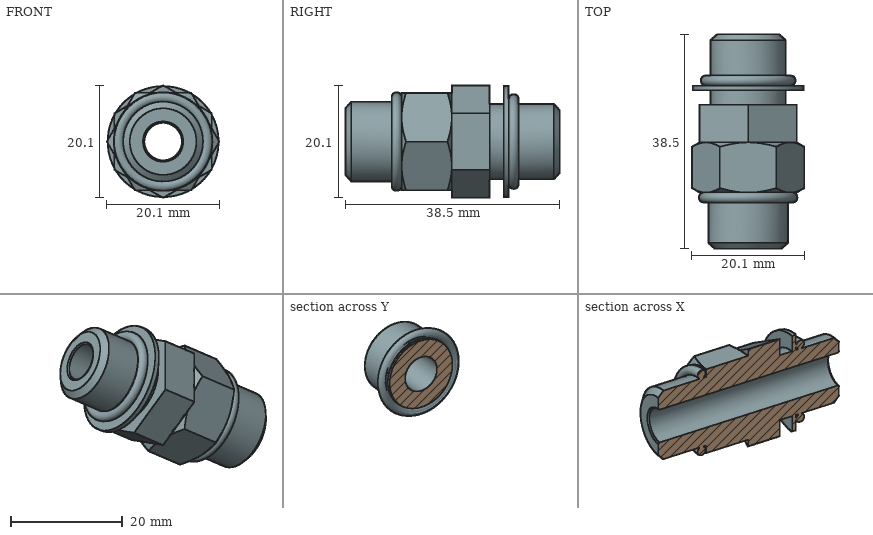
import cadquery as cq
import math

LENGTH = 38.48
ACROSS_CORNERS = 20.15
ACROSS_FLATS = ACROSS_CORNERS * math.cos(math.radians(30))

NUT_FRONT = 10.12
NUT_BACK = 19.1
HEX_BACK = 25.85
WASHER_FRONT = 28.4
WASHER_BACK = 29.3

FRONT_SPIGOT_DIAMETER = 14.3
BACK_SPIGOT_DIAMETER = 13.55
WASHER_DIAMETER = 19.95
FRONT_RING_DIAMETER = 17.7
BACK_RING_DIAMETER = 17.0
RING_THICKNESS = 1.8
END_CHAMFER_LENGTH = 1.08
END_CHAMFER_DEPTH = 1.2
NUT_CHAMFER_ANGLE = 30.0

BORE_DIAMETER = 6.7
BORE_CHAMFER = 0.27


def cylinder(diameter, start, end):
    """Solid cylinder about the Y axis between two stations."""
    return cq.Workplane("XZ", origin=(0, start, 0)).circle(diameter / 2).extrude(start - end)


def hexagon(start, end, turn):
    """Hexagonal prism about Y; a zero turn puts two corners on X."""
    prism = cq.Workplane("XZ", origin=(0, start, 0)).polygon(6, ACROSS_CORNERS).extrude(start - end)
    return prism.rotate((0, 0, 0), (0, 1, 0), turn)


def revolve_profile(points):
    """Revolve a closed (radius, station) profile about the Y axis."""
    return cq.Workplane("XY").polyline(points).close().revolve(360, (0, 0, 0), (0, 1, 0))


def spigot(diameter, inner_station, end_station):
    """Round end with a chamfer at its outer end."""
    radius = diameter / 2
    inward = math.copysign(1, inner_station - end_station)
    return revolve_profile([
        (0, inner_station),
        (radius, inner_station),
        (radius, end_station + inward * END_CHAMFER_LENGTH),
        (radius - END_CHAMFER_DEPTH, end_station),
        (0, end_station),
    ])


def sealing_ring(outer_diameter, center_station):
    """O-ring with a circular section."""
    section_center = (outer_diameter - RING_THICKNESS) / 2
    section = cq.Workplane("XY").center(section_center, center_station).circle(RING_THICKNESS / 2)
    return section.revolve(360, (-section_center, 0, 0), (-section_center, 1, 0))


def chamfered_nut():
    """Hexagonal nut with its corners turned to a cone at both faces."""
    face_radius = ACROSS_FLATS / 2
    corner_radius = ACROSS_CORNERS / 2
    cone_length = (corner_radius - face_radius) * math.tan(math.radians(NUT_CHAMFER_ANGLE))
    turned_blank = revolve_profile([
        (0, NUT_FRONT),
        (face_radius, NUT_FRONT),
        (corner_radius, NUT_FRONT + cone_length),
        (corner_radius, NUT_BACK - cone_length),
        (face_radius, NUT_BACK),
        (0, NUT_BACK),
    ])
    return hexagon(NUT_FRONT, NUT_BACK, 0).intersect(turned_blank)


def chamfered_bore():
    """Cutter for the through bore, flared at 45 degrees at both ends."""
    bore_radius = BORE_DIAMETER / 2
    mouth_radius = bore_radius + BORE_CHAMFER
    return revolve_profile([
        (0, 0),
        (mouth_radius, 0),
        (bore_radius, BORE_CHAMFER),
        (bore_radius, LENGTH - BORE_CHAMFER),
        (mouth_radius, LENGTH),
        (0, LENGTH),
    ])


body = chamfered_nut()
body = body.union(hexagon(NUT_BACK, HEX_BACK, 30))
body = body.union(spigot(FRONT_SPIGOT_DIAMETER, NUT_FRONT, 0))
body = body.union(spigot(BACK_SPIGOT_DIAMETER, HEX_BACK, LENGTH))
body = body.union(cylinder(WASHER_DIAMETER, WASHER_FRONT, WASHER_BACK))

body = body.union(sealing_ring(FRONT_RING_DIAMETER, NUT_FRONT - RING_THICKNESS / 2))
body = body.union(sealing_ring(BACK_RING_DIAMETER, WASHER_BACK + RING_THICKNESS / 2))

result = body.cut(chamfered_bore())